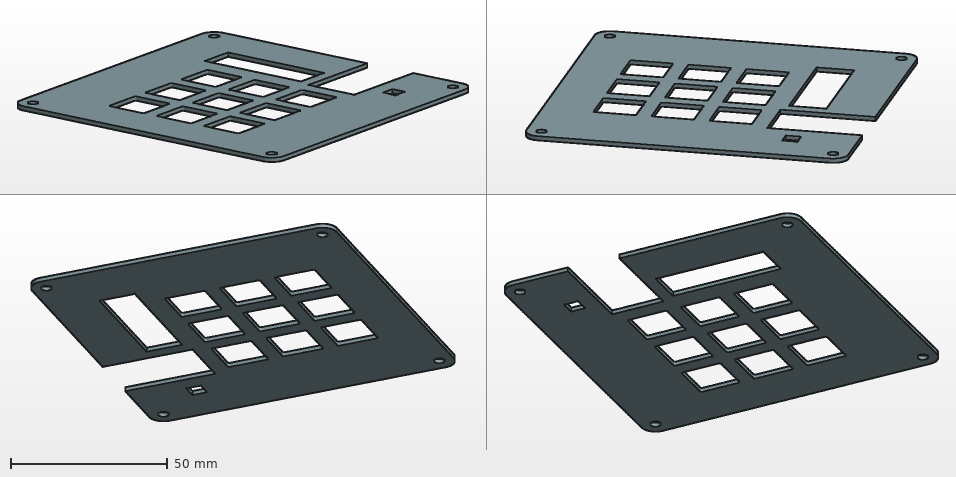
import cadquery as cq

plate_side = 105.7
plate_thickness = 1.5
corner_radius = 5.0

hole_diameter = 3.4
hole_spacing = plate_side - 2 * corner_radius

key_count = 3
key_side = 14.0
key_pitch = 19.0
key_corner_radius = 0.5
key_grid_x = -0.4
key_grid_y = -10.0

display_width = 38.6
display_height = 12.3
display_x = -13.8
display_y = 29.6

notch_width = 18.4
notch_x = 19.0
notch_bottom_y = 21.7

small_window_side = 5.0
small_window_x = 36.6
small_window_y = 31.6


def opening(width, height, x, y):
    """Rectangular cutter through the plate, centred at (x, y)."""
    return cq.Workplane("XY").center(x, y).rect(width, height).extrude(plate_thickness)


def rounded_plate():
    plate = opening(plate_side, plate_side, 0, 0)
    return plate.edges("|Z").fillet(corner_radius)


def mounting_holes():
    return (
        cq.Workplane("XY")
        .rect(hole_spacing, hole_spacing, forConstruction=True)
        .vertices()
        .circle(hole_diameter / 2)
        .extrude(plate_thickness)
    )


def key_openings():
    return (
        cq.Workplane("XY")
        .center(key_grid_x, key_grid_y)
        .rarray(key_pitch, key_pitch, key_count, key_count)
        .rect(key_side, key_side)
        .extrude(plate_thickness)
        .edges("|Z")
        .fillet(key_corner_radius)
    )


def edge_notch():
    notch_depth = plate_side / 2 - notch_bottom_y
    return opening(notch_width, notch_depth, notch_x, notch_bottom_y + notch_depth / 2)


result = (
    rounded_plate()
    .cut(mounting_holes())
    .cut(key_openings())
    .cut(opening(display_width, display_height, display_x, display_y))
    .cut(edge_notch())
    .cut(opening(small_window_side, small_window_side, small_window_x, small_window_y))
)